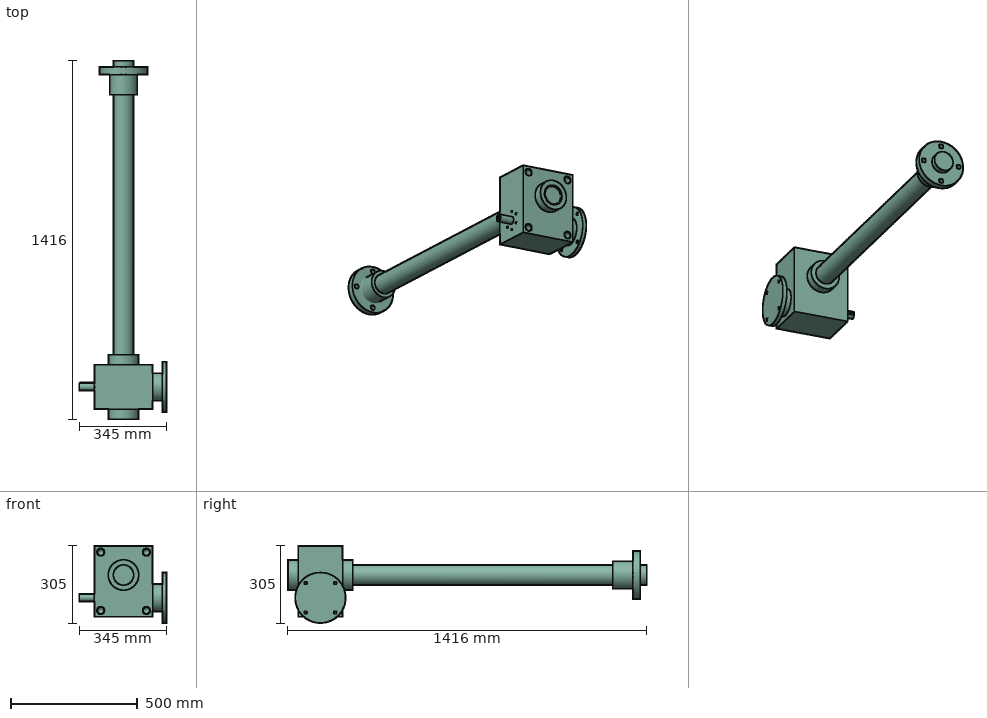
import cadquery as cq
import math


HOUSING_WIDTH = 230.0
HOUSING_DEPTH = 176.0
HOUSING_HEIGHT = 280.0
SCREW_TO_TOP = 115.0
CENTER_DISTANCE = 90.0
COLLAR_DIAMETER = 120.0
COLLAR_LENGTH = 40.0

SCREW_DIAMETER = 80.0
SCREW_LENGTH = 1416.0
JOURNAL_DIAMETER = 70.0
JOURNAL_HEAD_THICKNESS = 5.0

SHAFT_DIAMETER = 30.0
SHAFT_PROJECTION = 60.0
SHAFT_THREAD_CORE = 8.38
SHAFT_THREAD_DEPTH = 25.0
SHAFT_MOUTH_DIAMETER = 11.0
KEY_WIDTH = 10.0
KEY_LENGTH = 50.0
KEY_PROTRUSION = 3.3
KEY_TO_SHAFT_TIP = 5.0

CORNER_CORE_DIAMETER = 26.21
CORNER_THREAD_DIAMETER = 30.0
CORNER_HOLE_DEPTH = 45.0
CORNER_SPACING_X = 180.0
CORNER_SPACING_Z = 230.0

COVER_CORE_DIAMETER = 6.65
COVER_HOLE_DEPTH = 20.0
COVER_HOLE_CIRCLE = 75.0
COVER_HOLE_COUNT = 6

MOTOR_HUB_DIAMETER = 110.0
MOTOR_FLANGE_DIAMETER = 200.0
MOTOR_FLANGE_THICKNESS = 17.0
MOTOR_FLANGE_REACH = 55.0
MOTOR_HOLE_DIAMETER = 11.0
MOTOR_HOLE_CIRCLE = 165.0
MOTOR_HOLE_COUNT = 4

NUT_FLANGE_DIAMETER = 190.0
NUT_FLANGE_THICKNESS = 30.0
NUT_HUB_DIAMETER = 110.0
NUT_HUB_LENGTH = 80.0
NUT_FILLET_RADIUS = 2.0
NUT_TO_SCREW_END = 25.0
NUT_HOLE_DIAMETER = 18.0
NUT_HOLE_CIRCLE = 150.0
NUT_HOLE_COUNT = 4

DRILL_POINT_ANGLE = 118.0

HALF_WIDTH = HOUSING_WIDTH / 2
HALF_DEPTH = HOUSING_DEPTH / 2
HOUSING_MIDDLE_Z = SCREW_TO_TOP - HOUSING_HEIGHT / 2
COLLAR_END = HALF_DEPTH + COLLAR_LENGTH
SCREW_START = -COLLAR_END
JOURNAL_START = SCREW_START + JOURNAL_HEAD_THICKNESS
JOURNAL_END = -HALF_DEPTH
SCREW_END = SCREW_START + SCREW_LENGTH
NUT_FLANGE_END = SCREW_END - NUT_TO_SCREW_END
NUT_FLANGE_START = NUT_FLANGE_END - NUT_FLANGE_THICKNESS
NUT_START = NUT_FLANGE_START - NUT_HUB_LENGTH


def along_y(diameter, start, end, x=0.0, z=0.0):
    """Cylinder parallel to Y from start to end."""
    base = cq.Vector(x, start, z)
    return cq.Workplane(cq.Solid.makeCylinder(diameter / 2, end - start, base, cq.Vector(0, 1, 0)))


def along_x(diameter, start, end, y=0.0, z=-CENTER_DISTANCE):
    """Cylinder parallel to X from start to end, on the worm axis by default."""
    base = cq.Vector(start, y, z)
    return cq.Workplane(cq.Solid.makeCylinder(diameter / 2, end - start, base, cq.Vector(1, 0, 0)))


def tapped_hole(core, mouth, depth):
    """Cutter along +Y for a drilled hole with a 45-degree mouth chamfer and a conical bottom."""
    chamfer = (mouth - core) / 2
    tip = depth + core / 2 / math.tan(math.radians(DRILL_POINT_ANGLE / 2))
    profile = [(0, 0), (mouth / 2, 0), (core / 2, chamfer), (core / 2, depth), (0, tip)]
    return cq.Workplane("XY").polyline(profile).close().revolve(360, (0, 0), (0, 1))


def hole_circle(circle, count, start_angle=0.0):
    """Points of an even bolt circle, as pairs from its middle."""
    angles = [math.radians(start_angle + 360 * i / count) for i in range(count)]
    return [(circle / 2 * math.cos(a), circle / 2 * math.sin(a)) for a in angles]


def make_housing():
    """Box with two collars, bored for the screw and the worm shaft."""
    body = cq.Workplane("XY").box(HOUSING_WIDTH, HOUSING_DEPTH, HOUSING_HEIGHT)
    body = body.translate((0, 0, HOUSING_MIDDLE_Z))
    body = body.union(along_y(COLLAR_DIAMETER, -COLLAR_END, COLLAR_END))
    body = body.cut(make_screw())
    body = body.cut(along_x(SHAFT_DIAMETER, -HALF_WIDTH, HALF_WIDTH))

    corner = tapped_hole(CORNER_CORE_DIAMETER, CORNER_THREAD_DIAMETER, CORNER_HOLE_DEPTH)
    for x in (-1, 1):
        for z in (-1, 1):
            place = (x * CORNER_SPACING_X / 2, -HALF_DEPTH, HOUSING_MIDDLE_Z + z * CORNER_SPACING_Z / 2)
            body = body.cut(corner.translate(place))

    cover_hole_end = -HALF_WIDTH + COVER_HOLE_DEPTH
    for y, z in hole_circle(COVER_HOLE_CIRCLE, COVER_HOLE_COUNT, 90):
        body = body.cut(along_x(COVER_CORE_DIAMETER, -HALF_WIDTH, cover_hole_end, y, z - CENTER_DISTANCE))
    return body


def make_screw():
    """Screw with a journal through the front collar and a head flush with the collar face."""
    head = along_y(SCREW_DIAMETER, SCREW_START, JOURNAL_START)
    journal = along_y(JOURNAL_DIAMETER, JOURNAL_START, JOURNAL_END)
    return along_y(SCREW_DIAMETER, JOURNAL_END, SCREW_END).union(journal).union(head)


def make_shaft():
    """Worm shaft with a key on its +Y side and a tapped hole in its free end."""
    tip = -HALF_WIDTH - SHAFT_PROJECTION
    key_depth = SHAFT_DIAMETER / 2 + KEY_PROTRUSION
    key = cq.Workplane("XY").box(KEY_LENGTH, key_depth, KEY_WIDTH, centered=(False, False, True))
    key = key.translate((tip + KEY_TO_SHAFT_TIP, 0, -CENTER_DISTANCE))
    thread = tapped_hole(SHAFT_THREAD_CORE, SHAFT_MOUTH_DIAMETER, SHAFT_THREAD_DEPTH)
    thread = thread.rotate((0, 0, 0), (0, 0, 1), -90).translate((tip, 0, -CENTER_DISTANCE))
    return along_x(SHAFT_DIAMETER, tip, HALF_WIDTH).union(key).cut(thread)


def make_motor_flange():
    """Hub and bolting plate on the +X side of the housing."""
    end = HALF_WIDTH + MOTOR_FLANGE_REACH
    plate_start = end - MOTOR_FLANGE_THICKNESS
    hub = along_x(MOTOR_HUB_DIAMETER, HALF_WIDTH, end)
    flange = hub.union(along_x(MOTOR_FLANGE_DIAMETER, plate_start, end))
    for y, z in hole_circle(MOTOR_HOLE_CIRCLE, MOTOR_HOLE_COUNT, 45):
        flange = flange.cut(along_x(MOTOR_HOLE_DIAMETER, plate_start, end, y, z - CENTER_DISTANCE))
    return flange


def make_nut():
    """Flanged nut around the screw, with a fillet where its hub meets the flange."""
    nut = along_y(NUT_FLANGE_DIAMETER, NUT_FLANGE_START, NUT_FLANGE_END)
    nut = nut.union(along_y(NUT_HUB_DIAMETER, NUT_START, NUT_FLANGE_END))
    flange_face = nut.faces("<Y[1]")
    hub_root = flange_face.edges(cq.selectors.RadiusNthSelector(0))
    nut = hub_root.fillet(NUT_FILLET_RADIUS)
    nut = nut.cut(along_y(SCREW_DIAMETER, NUT_START, NUT_FLANGE_END))
    for x, z in hole_circle(NUT_HOLE_CIRCLE, NUT_HOLE_COUNT):
        nut = nut.cut(along_y(NUT_HOLE_DIAMETER, NUT_FLANGE_START, NUT_FLANGE_END, x, z))
    return nut


housing = make_housing()
screw = make_screw()
worm_shaft = make_shaft()
motor_flange = make_motor_flange()
nut = make_nut()

result = cq.Compound.makeCompound(
    [housing.val(), screw.val(), worm_shaft.val(), motor_flange.val(), nut.val()]
)